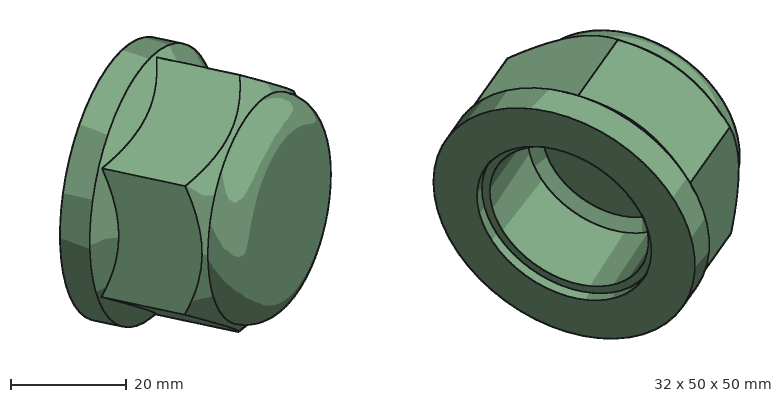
import cadquery as cq
import math

total_length = 32.0
flange_diameter = 50.0
flange_radius = flange_diameter / 2
flange_thickness = 5.75

hex_across_flats = 42.5
hex_corner_diameter = 2 * hex_across_flats / math.sqrt(3)
hex_turn_degrees = 0.6

collar_diameter = 41.0
collar_radius = collar_diameter / 2
collar_length = 5.75
collar_start = total_length - collar_length

entry_diameter = 33.32
entry_depth = 2.0
bore_diameter = 30.29
bore_depth = 17.2
floor_diameter = 26.4
floor_depth = bore_depth + (bore_diameter - floor_diameter) / 2


def revolve_about_axis(half_profile):
    """Spin a closed (x, radius) profile a full turn about the X axis."""
    return half_profile.close().revolve(360, (0, 0, 0), (1, 0, 0))


def make_flange():
    """Disc with a 45 degree cone rising from its rim; the cone tip lies inside the nut."""
    cone_tip = flange_thickness + flange_radius
    half_profile = (
        cq.Workplane("XY")
        .lineTo(0, flange_radius)
        .lineTo(flange_thickness, flange_radius)
        .lineTo(cone_tip, 0)
    )
    return revolve_about_axis(half_profile)


def make_hexagon():
    """Hexagonal prism with its corners trimmed by a 45 degree cone at the collar."""
    prism = (
        cq.Workplane("YZ")
        .polygon(6, hex_corner_diameter)
        .extrude(collar_start)
        .rotate((0, 0, 0), (1, 0, 0), 90 - hex_turn_degrees)
    )
    trim_start = collar_start - (flange_radius - collar_radius)
    trim_profile = (
        cq.Workplane("XY")
        .lineTo(0, flange_radius)
        .lineTo(trim_start, flange_radius)
        .lineTo(collar_start, collar_radius)
        .lineTo(collar_start, 0)
    )
    return prism.intersect(revolve_about_axis(trim_profile))


def make_collar():
    """Closed end cap whose outer edge is a quarter round over its full length."""
    arc_centre_radius = collar_radius - collar_length
    arc_middle_offset = collar_length * math.sqrt(0.5)
    half_profile = (
        cq.Workplane("XY")
        .moveTo(collar_start, 0)
        .lineTo(collar_start, collar_radius)
        .threePointArc(
            (collar_start + arc_middle_offset, arc_centre_radius + arc_middle_offset),
            (total_length, arc_centre_radius),
        )
        .lineTo(total_length, 0)
    )
    return revolve_about_axis(half_profile)


def make_bore():
    """Stepped blind bore: shallow entry, main bore, then the taper to a flat floor."""
    half_profile = (
        cq.Workplane("XY")
        .lineTo(0, entry_diameter / 2)
        .lineTo(entry_depth, entry_diameter / 2)
        .lineTo(entry_depth, bore_diameter / 2)
        .lineTo(bore_depth, bore_diameter / 2)
        .lineTo(floor_depth, floor_diameter / 2)
        .lineTo(floor_depth, 0)
    )
    return revolve_about_axis(half_profile)


body = make_flange().union(make_hexagon()).union(make_collar())
result = body.cut(make_bore())